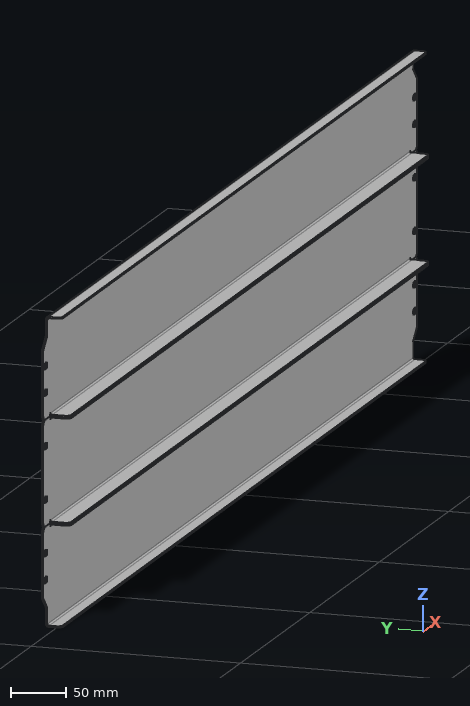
import cadquery as cq
import math

length = 1076.5
height = 290.0
depth = 20.0

sheet = 1.5
bend_inside = 1.5
bend_outside = bend_inside + sheet

middle_height = 100.0
joint_z = middle_height / 2
top_z = height / 2

outer_flange_depth = 15.0
outer_flange_inset = 11.25
joint_flange_depth = depth
joint_flange_inset = 20.0
flange_corner_radius = 5.0

corner_drop = 18.0
corner_slope_height = 11.0

joint_corner_radius = 5.0

slot_length = 10.0
slot_height = 5.5
slot_inset = 6.5
middle_slot_z = 25.0
outer_slot_zs = [75.0, 100.0]

half_length = length / 2
outer_flange_x = half_length - outer_flange_inset
joint_flange_x = half_length - joint_flange_inset
slot_x = half_length - slot_inset


def mirrored(right_side):
    """Complete right-hand outline points with their mirror image on the left."""
    return right_side + [(-x, z) for x, z in reversed(right_side)]


def flat_sheet(points):
    """Flat sheet in the XZ plane, with its back face at y = 0."""
    return cq.Workplane("XZ").polyline(points).close().extrude(sheet)


def cut_slots(panel, slot_zs):
    """Cut a fixing slot near both ends of the panel at each height."""
    centres = [(x, z) for x in (-slot_x, slot_x) for z in slot_zs]
    slots = cq.Workplane("XZ").pushPoints(centres).slot2D(slot_length, slot_height).extrude(sheet)
    return panel.cut(slots)


def folded_flange(edge_z, inward, flange_depth, half_width):
    """Bend and flange along a panel edge; inward is +1 or -1, from the edge into the panel.

    The front corners of the flange are rounded.
    """
    bend_z = edge_z + inward * bend_outside
    inner_z = edge_z + inward * sheet
    diagonal = math.sqrt(0.5)

    def arc_middle(radius):
        return (radius * diagonal - bend_outside, bend_z - inward * radius * diagonal)

    flange = (
        cq.Workplane("YZ")
        .moveTo(0, bend_z)
        .threePointArc(arc_middle(bend_outside), (-bend_outside, edge_z))
        .lineTo(-flange_depth, edge_z)
        .lineTo(-flange_depth, inner_z)
        .lineTo(-bend_outside, inner_z)
        .threePointArc(arc_middle(bend_inside), (-sheet, bend_z))
        .close()
        .extrude(half_width, both=True)
    )
    return flange.faces("<Y").edges("|Z").fillet(flange_corner_radius)


def joint_edge(edge_z, inward):
    """Right-hand outline along a joint: end tab and the gap filled by the flange."""
    bend_z = edge_z + inward * bend_outside
    return [
        (half_length, edge_z),
        (joint_flange_x, edge_z),
        (joint_flange_x, bend_z),
    ]


def build_middle_panel():
    upper_edge = joint_edge(joint_z, -1)
    lower_edge = joint_edge(-joint_z, 1)
    panel = flat_sheet(mirrored(upper_edge[::-1] + lower_edge))
    panel = panel.edges("|Y").edges("<X or >X").fillet(joint_corner_radius)
    panel = panel.union(folded_flange(joint_z, -1, joint_flange_depth, joint_flange_x))
    panel = panel.union(folded_flange(-joint_z, 1, joint_flange_depth, joint_flange_x))
    return cut_slots(panel, [-middle_slot_z, middle_slot_z])


def build_upper_panel():
    slope_top_z = top_z - corner_drop
    clipped_corner = [
        (outer_flange_x, top_z - bend_outside),
        (outer_flange_x, slope_top_z),
        (half_length, slope_top_z - corner_slope_height),
    ]
    panel = flat_sheet(mirrored(clipped_corner + joint_edge(joint_z, 1)))
    panel = panel.faces("<Z").edges("|Y").edges("<X or >X").fillet(joint_corner_radius)
    panel = panel.union(folded_flange(top_z, -1, outer_flange_depth, outer_flange_x))
    panel = panel.union(folded_flange(joint_z, 1, joint_flange_depth, joint_flange_x))
    return cut_slots(panel, outer_slot_zs)


middle_panel = build_middle_panel()
upper_panel = build_upper_panel()
lower_panel = upper_panel.mirror("XY")

result = cq.Compound.makeCompound([middle_panel.val(), upper_panel.val(), lower_panel.val()])